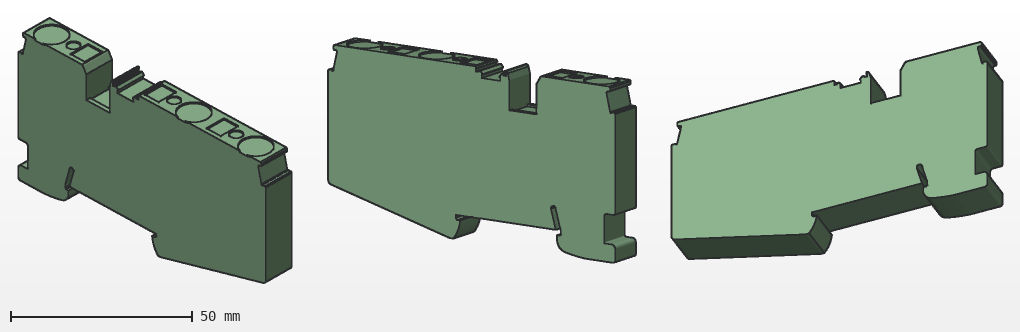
import cadquery as cq

LENGTH = 95.3
THICKNESS = 10.2
HEIGHT = 49.6

SHOULDER_Z = 42.4
SHOULDER_WIDTH = 1.4
SHOULDER_GROOVE_DEPTH = 0.3
SHOULDER_CHAMFER = 0.3
FLANGE_INSET = 1.7
FLANGE_BOTTOM_Z = 48.4
FLANGE_CHAMFER = 0.4
NECK_INSET = 3.05
NECK_TOP_Z = 48.1
NECK_TOP_RADIUS = 0.5

SLOT_LEFT = 26.2
SLOT_RIGHT = 35.2
SLOT_FLOOR_Z = 38.6
SLOT_RAMP_Z = 47.1
SLOT_RAMP_WIDTH = 1.2
SLOT_RECESS_WIDTH = 7.2
SLOT_RECESS_DEPTH = 0.6

CHANNEL_LEFT = 38.2
CHANNEL_RIGHT = 44.3
CHANNEL_FLOOR_Z = 46.5
LIP_Z = 47.65
LIP_REACH = 0.3
LEDGE_TOP_Z = 48.5
LEDGE_NEAR_OFFSET = 0.5
LEDGE_FAR_OFFSET = 1.0
GROOVE_FLOOR_Z = 48.1
GROOVE_NEAR_OFFSET = 1.1
GROOVE_FAR_OFFSET = 1.9

HOOK_EDGE_Z = 49.0
HOOK_OVERHANG = 0.3
TOOTH_SLANT = 0.5
TOOTH_TOP_WIDTH = 0.6

NOTCH_DEPTH = 3.7
NOTCH_TOP_Z = 13.5
NOTCH_BOTTOM_Z = 5.1
FOOT_TOE_TOP = (19.3, 3.8)
FOOT_TOE_MIDDLE = (18.4, 1.9)
FOOT_TOE_BOTTOM = (16.7, 1.0)
FOOT_SOLE_MIDDLE = (13.5, 0.4)
FOOT_SOLE_END = (10.0, 0)

RAIL_Z = 6.9
RAIL_LEFT = 19.7
RAIL_RIGHT = 53.0
RAIL_LIP_Z = 5.4
LEFT_LIP_WIDTH = 0.9
LEFT_LIP_RAMP = 0.4
RIGHT_LIP_WIDTH = 1.0
RIGHT_LIP_RAMP = 0.6
SLIT_HEIGHT = 5.8
SLIT_WIDTH = 1.6
SLIT_LEAN = 1.6

CLAW_TIP = (51.5, RAIL_LIP_Z)
CLAW_MIDDLE = (52.2, 2.5)
CLAW_BOTTOM_LEFT = 53.75
CLAW_BOTTOM_RIGHT = 54.8
SLOPE_END_Z = 10.3

ENTRY_RADIUS = 5.0
ENTRY_Y = -0.33
TEST_RADIUS = 2.0
TEST_Y = 0.1
TEST_OFFSET = 8.0
POCKET_LENGTH = 5.5
POCKET_WIDTH = 7.0
POCKET_Y = -0.1
POCKET_OFFSET = 13.15
TERMINAL_DEPTH = 0.5
TERMINAL_PITCH = 23.9
LEFT_ENTRY_X = 8.2
MIDDLE_ENTRY_X = 62.9
TERMINALS = [
    (LEFT_ENTRY_X, 1),
    (MIDDLE_ENTRY_X, -1),
    (MIDDLE_ENTRY_X + TERMINAL_PITCH, -1),
]

NOTCH_UPPER_OUTER_RADIUS = 0.6
NOTCH_UPPER_INNER_RADIUS = 0.9
NOTCH_LOWER_INNER_RADIUS = 0.4
NOTCH_LOWER_OUTER_RADIUS = 1.2
FOOT_CORNER_RADIUS = 0.9
SLOPE_CORNER_RADIUS = 1.4


def end_points():
    """Left shoulder, neck and flange from the side wall up to the top face."""
    return [
        (0, SHOULDER_Z - SHOULDER_CHAMFER),
        (SHOULDER_CHAMFER, SHOULDER_Z),
        (SHOULDER_WIDTH, SHOULDER_Z),
        (SHOULDER_WIDTH, SHOULDER_Z - SHOULDER_GROOVE_DEPTH),
        (FLANGE_INSET, SHOULDER_Z),
        (NECK_INSET, NECK_TOP_Z),
        (FLANGE_INSET + FLANGE_CHAMFER, NECK_TOP_Z),
        (FLANGE_INSET, FLANGE_BOTTOM_Z),
        (FLANGE_INSET, HEIGHT - FLANGE_CHAMFER),
        (FLANGE_INSET + FLANGE_CHAMFER, HEIGHT),
    ]


def slot_points():
    """Deep slot, from the top of its left ramp to the foot of the thin tooth."""
    ramp_top = SLOT_LEFT - SLOT_RAMP_WIDTH
    return [
        (ramp_top - FLANGE_CHAMFER, HEIGHT),
        (ramp_top, HEIGHT - FLANGE_CHAMFER),
        (SLOT_LEFT, SLOT_RAMP_Z),
        (SLOT_LEFT, SLOT_FLOOR_Z),
        (SLOT_RIGHT, SLOT_FLOOR_Z),
        (SLOT_RIGHT, SLOT_RAMP_Z),
    ]


def channel_side(wall_x, outward):
    """Profile from the groove down to the channel floor, outward being -1 (left) or 1 (right)."""
    offsets = [
        (GROOVE_FAR_OFFSET, HOOK_EDGE_Z),
        (GROOVE_FAR_OFFSET, GROOVE_FLOOR_Z),
        (GROOVE_NEAR_OFFSET, GROOVE_FLOOR_Z),
        (LEDGE_FAR_OFFSET, LEDGE_TOP_Z),
        (LEDGE_NEAR_OFFSET, LEDGE_TOP_Z),
        (-LIP_REACH, LIP_Z),
        (0, LIP_Z - LIP_REACH),
        (0, CHANNEL_FLOOR_Z),
    ]
    return [(wall_x + outward * offset, z) for offset, z in offsets]


def channel_points():
    """Thin hooked tooth, label channel and the hooked edge of the right top face."""
    left_side = channel_side(CHANNEL_LEFT, -1)
    right_side = channel_side(CHANNEL_RIGHT, 1)
    right_side.reverse()
    tooth_tip_x = CHANNEL_LEFT - GROOVE_FAR_OFFSET + HOOK_OVERHANG
    right_hook_x = CHANNEL_RIGHT + GROOVE_FAR_OFFSET - HOOK_OVERHANG
    return [
        (SLOT_RIGHT + TOOTH_SLANT, HOOK_EDGE_Z),
        (tooth_tip_x - TOOTH_TOP_WIDTH, HEIGHT),
        (tooth_tip_x, HEIGHT),
        (tooth_tip_x, HOOK_EDGE_Z),
        *left_side,
        *right_side,
        (right_hook_x, HOOK_EDGE_Z),
        (right_hook_x + FLANGE_CHAMFER, HEIGHT),
    ]


def notch_points():
    """Side notch above the foot, from its lower outer corner upwards."""
    return [
        (0, NOTCH_BOTTOM_Z),
        (NOTCH_DEPTH, NOTCH_BOTTOM_Z),
        (NOTCH_DEPTH, NOTCH_TOP_Z),
        (0, NOTCH_TOP_Z),
    ]


def block_body():
    """Extruded profile, drawn clockwise from the bottom left corner of the foot."""
    right_end = [(LENGTH - x, z) for x, z in reversed(end_points())]
    outline = [
        (0, 0),
        *notch_points(),
        *end_points(),
        *slot_points(),
        *channel_points(),
        *right_end,
        (LENGTH, SLOPE_END_Z),
        (CLAW_BOTTOM_RIGHT, 0),
        (CLAW_BOTTOM_LEFT, 0),
    ]
    slit_top_z = RAIL_Z + SLIT_HEIGHT
    slit_top_right = RAIL_LEFT + SLIT_LEAN
    slit_top_left = slit_top_right - SLIT_WIDTH
    slit_bottom_left = RAIL_LEFT - SLIT_WIDTH
    return (
        cq.Workplane("XZ")
        .polyline(outline)
        .threePointArc(CLAW_MIDDLE, CLAW_TIP)
        .lineTo(CLAW_TIP[0] + RIGHT_LIP_WIDTH, RAIL_LIP_Z)
        .lineTo(RAIL_RIGHT, RAIL_LIP_Z + RIGHT_LIP_RAMP)
        .lineTo(RAIL_RIGHT, RAIL_Z)
        .lineTo(RAIL_LEFT, RAIL_Z)
        .lineTo(slit_top_right, slit_top_z)
        .threePointArc(
            (slit_top_right - SLIT_WIDTH / 2, slit_top_z + SLIT_WIDTH / 2),
            (slit_top_left, slit_top_z),
        )
        .lineTo(slit_bottom_left, RAIL_Z)
        .lineTo(slit_bottom_left, RAIL_LIP_Z + LEFT_LIP_RAMP)
        .lineTo(FOOT_TOE_TOP[0] - LEFT_LIP_WIDTH, RAIL_LIP_Z)
        .lineTo(FOOT_TOE_TOP[0], RAIL_LIP_Z)
        .lineTo(*FOOT_TOE_TOP)
        .threePointArc(FOOT_TOE_MIDDLE, FOOT_TOE_BOTTOM)
        .threePointArc(FOOT_SOLE_MIDDLE, FOOT_SOLE_END)
        .close()
        .extrude(THICKNESS / 2, both=True)
    )


def round_corner(body, x, z, radius):
    """Round the profile corner at (x, z) through the whole thickness."""
    corner = cq.selectors.NearestToPointSelector((x, 0, z))
    return body.edges("|Y").edges(corner).fillet(radius)


def box_cutter(x, y, top_z, length, width, depth):
    """Box centred on (x, y), reaching down from top_z."""
    return cq.Workplane("XY", origin=(x, y, top_z)).rect(length, width).extrude(-depth)


def disc_cutter(x, y, radius):
    """Shallow disc reaching down from the top face."""
    return cq.Workplane("XY", origin=(x, y, HEIGHT)).circle(radius).extrude(-TERMINAL_DEPTH)


result = block_body()

ROUNDED_CORNERS = [
    (0, NOTCH_TOP_Z, NOTCH_UPPER_OUTER_RADIUS),
    (NOTCH_DEPTH, NOTCH_TOP_Z, NOTCH_UPPER_INNER_RADIUS),
    (NOTCH_DEPTH, NOTCH_BOTTOM_Z, NOTCH_LOWER_INNER_RADIUS),
    (0, NOTCH_BOTTOM_Z, NOTCH_LOWER_OUTER_RADIUS),
    (0, 0, FOOT_CORNER_RADIUS),
    (LENGTH, SLOPE_END_Z, SLOPE_CORNER_RADIUS),
    (NECK_INSET, NECK_TOP_Z, NECK_TOP_RADIUS),
    (LENGTH - NECK_INSET, NECK_TOP_Z, NECK_TOP_RADIUS),
]
for corner_x, corner_z, corner_radius in ROUNDED_CORNERS:
    result = round_corner(result, corner_x, corner_z, corner_radius)

result = result.cut(
    box_cutter(
        (SLOT_LEFT + SLOT_RIGHT) / 2,
        0,
        SLOT_FLOOR_Z,
        SLOT_RIGHT - SLOT_LEFT,
        SLOT_RECESS_WIDTH,
        SLOT_RECESS_DEPTH,
    )
)

for entry_x, direction in TERMINALS:
    test_x = entry_x + direction * TEST_OFFSET
    pocket_x = entry_x + direction * POCKET_OFFSET
    result = result.cut(disc_cutter(entry_x, ENTRY_Y, ENTRY_RADIUS))
    result = result.cut(disc_cutter(test_x, TEST_Y, TEST_RADIUS))
    result = result.cut(
        box_cutter(pocket_x, POCKET_Y, HEIGHT, POCKET_LENGTH, POCKET_WIDTH, TERMINAL_DEPTH)
    )